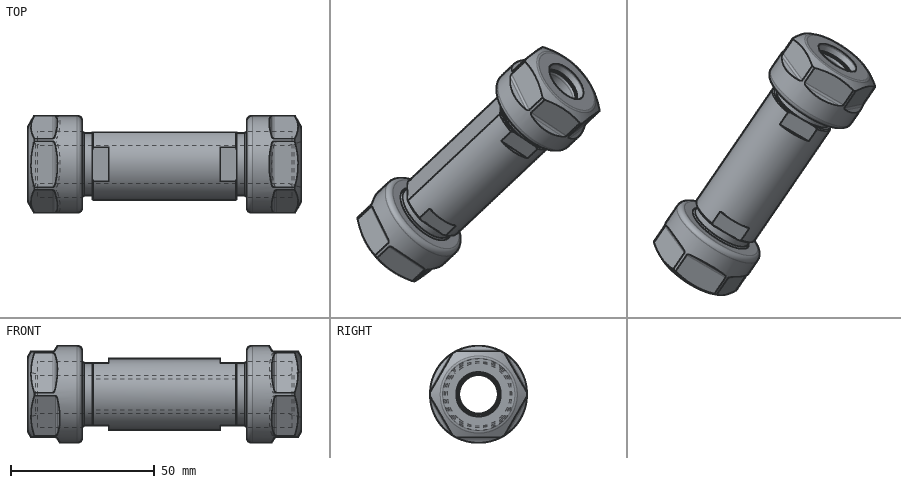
import cadquery as cq
import math

LENGTH = 95.4

NUT_LENGTH = 19.1
NUT_RADIUS = 17.0
ACROSS_FLATS = 30.0
FLAT_COUNT = 6
FACE_RADIUS = 13.1
CHAMFER_ANGLE = 30.0
FACE_ROUND = 1.7
BACK_ROUND = 1.9
SHORT_FLAT = 8.7
LONG_FLAT = 9.5
FLAT_ROUND = 1.0
FLAT_RUNOUT_ANGLE = 30.0
MOUTH_RADIUS = 7.8
MOUTH_LENGTH = 0.6
TAPER_END_RADIUS = 7.25
TAPER_END_X = 2.7
LIP_RADIUS = 6.7
LIP_LENGTH = 0.6
NUT_PLACEMENTS = [(0, 0), (180, 120)]

BODY_RADIUS = 12.5
BODY_CHAMFER = 0.5
SHOULDER_X = 22.4
NECK_RADIUS = 11.0
SPIGOT_RADIUS = 11.5
SPIGOT_CHAMFER = SPIGOT_RADIUS - NECK_RADIUS
BORE_RADIUS = 6.7
BORE_MOUTH_ROUND = 1.2
WRENCH_FLAT_END = 28.2
WRENCH_FLAT_HEIGHT = 11.0
SIDE_FLAT_DISTANCE = 11.3

MID_X = LENGTH / 2
FLAT_STEP = 360 / FLAT_COUNT
BODY_END_X = TAPER_END_X + LIP_LENGTH
AXIS_START = (0, 0, 0)
AXIS_END = (1, 0, 0)


def tan_deg(angle):
    return math.tan(math.radians(angle))


def nut_blank():
    """Turned shape of the nut: chamfered front, rounded back, stepped bore."""
    cone_length = (NUT_RADIUS - FACE_RADIUS) * tan_deg(CHAMFER_ANGLE)
    blank = (
        cq.Workplane("XY")
        .moveTo(0, 0)
        .lineTo(0, FACE_RADIUS)
        .lineTo(cone_length, NUT_RADIUS)
        .lineTo(NUT_LENGTH, NUT_RADIUS)
        .lineTo(NUT_LENGTH, 0)
        .close()
        .revolve(360, AXIS_START, AXIS_END)
    )
    blank = blank.faces("<X").edges().fillet(FACE_ROUND)
    blank = blank.faces(">X").edges().fillet(BACK_ROUND)
    stepped_hole = (
        cq.Workplane("XY")
        .lineTo(0, MOUTH_RADIUS)
        .lineTo(MOUTH_LENGTH, MOUTH_RADIUS)
        .lineTo(TAPER_END_X, TAPER_END_RADIUS)
        .lineTo(TAPER_END_X, LIP_RADIUS)
        .lineTo(BODY_END_X, LIP_RADIUS)
        .lineTo(BODY_END_X, SPIGOT_RADIUS)
        .lineTo(NUT_LENGTH, SPIGOT_RADIUS)
        .lineTo(NUT_LENGTH, 0)
        .close()
        .revolve(360, AXIS_START, AXIS_END)
    )
    return blank.cut(stepped_hole)


def flat_cutter(flat_length):
    """Prism that mills one flat on the +Z side, with a rounded, sloping run-out."""
    flat_height = ACROSS_FLATS / 2
    depth = 2 * (NUT_RADIUS - flat_height)
    corner_x = flat_length + FLAT_ROUND * tan_deg((90 - FLAT_RUNOUT_ANGLE) / 2)
    cutter = (
        cq.Workplane("XZ")
        .moveTo(0, flat_height)
        .lineTo(corner_x, flat_height)
        .lineTo(corner_x + depth * tan_deg(FLAT_RUNOUT_ANGLE), flat_height + depth)
        .lineTo(0, flat_height + depth)
        .close()
        .extrude(NUT_RADIUS, both=True)
    )
    return cutter.edges("|Y and <Z").edges(">X").fillet(FLAT_ROUND)


def make_left_nut():
    """Nut at the X = 0 end; the three flats around +Z are shorter than the other three."""
    nut = nut_blank()
    for index in range(FLAT_COUNT):
        angle = (index - 1) * FLAT_STEP
        flat_length = SHORT_FLAT if index < FLAT_COUNT / 2 else LONG_FLAT
        nut = nut.cut(flat_cutter(flat_length).rotate(AXIS_START, AXIS_END, angle))
    return nut


def make_nut(end_angle, roll):
    """One nut, swung about the middle of the assembly to its end and rolled about the axis."""
    nut = make_left_nut().rotate((MID_X, 0, 0), (MID_X, 0, 1), end_angle)
    return nut.rotate(AXIS_START, AXIS_END, roll)


def body_half_profile():
    """Turned shape of the body from its middle to the X = 0 end."""
    return (
        cq.Workplane("XY")
        .moveTo(MID_X, BORE_RADIUS)
        .lineTo(MID_X, BODY_RADIUS)
        .lineTo(SHOULDER_X + BODY_CHAMFER, BODY_RADIUS)
        .lineTo(SHOULDER_X, BODY_RADIUS - BODY_CHAMFER)
        .lineTo(SHOULDER_X, NECK_RADIUS)
        .lineTo(NUT_LENGTH + SPIGOT_CHAMFER, NECK_RADIUS)
        .lineTo(NUT_LENGTH, SPIGOT_RADIUS)
        .lineTo(BODY_END_X, SPIGOT_RADIUS)
        .lineTo(BODY_END_X, BORE_RADIUS + BORE_MOUTH_ROUND)
        .radiusArc((BODY_END_X + BORE_MOUTH_ROUND, BORE_RADIUS), -BORE_MOUTH_ROUND)
        .close()
        .revolve(360, AXIS_START, AXIS_END)
    )


def make_body():
    half = body_half_profile()
    body = half.union(half.mirror("YZ", (MID_X, 0, 0)))

    flat_size = WRENCH_FLAT_END - SHOULDER_X
    for end_x in (SHOULDER_X, LENGTH - WRENCH_FLAT_END):
        for bottom in (WRENCH_FLAT_HEIGHT, -WRENCH_FLAT_HEIGHT - BODY_RADIUS):
            body = body.cut(
                cq.Workplane("XY").box(flat_size, 2 * BODY_RADIUS, BODY_RADIUS, centered=(False, True, False))
                .translate((end_x, 0, bottom))
            )

    side_cut = (
        cq.Workplane("XY")
        .box(LENGTH - 2 * SHOULDER_X, BODY_RADIUS, 2 * BODY_RADIUS, centered=(True, False, True))
        .translate((MID_X, SIDE_FLAT_DISTANCE, 0))
    )
    return body.cut(side_cut)


body = make_body()
nuts = [make_nut(end_angle, roll) for end_angle, roll in NUT_PLACEMENTS]

result = cq.Compound.makeCompound([body.val(), *[nut.val() for nut in nuts]])